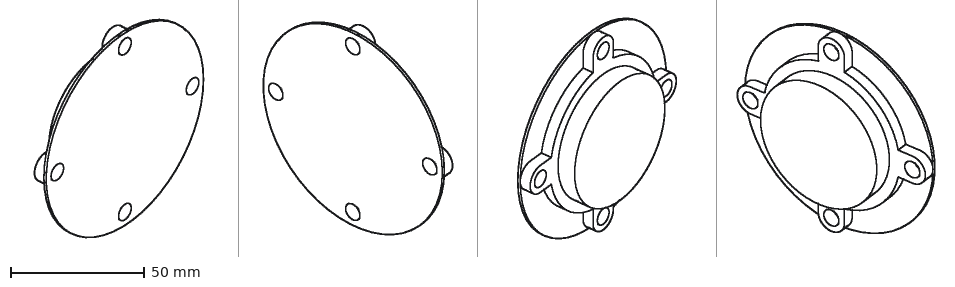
import cadquery as cq

total_depth = 13.9
plate_diameter = 88.0
plate_thickness = 1.2
boss_diameter = 54.4
boss_height = 7.9
ring_diameter = 63.7
lug_width = 12.3
hole_diameter = 7.0
lug_count = 4

ring_thickness = total_depth - plate_thickness - boss_height
lug_radius = lug_width / 2
hole_offset = plate_diameter / 2 - lug_radius


def disc(diameter, start, thickness):
    """Disc on the X axis, growing toward +X from the given position."""
    return cq.Workplane("YZ", origin=(start, 0, 0)).circle(diameter / 2).extrude(thickness)


def lug(angle):
    """Round-ended arm from the axis out to one screw hole."""
    arm_plane = cq.Workplane("YZ", origin=(boss_height, 0, 0))
    arm = arm_plane.center(hole_offset / 2, 0).rect(hole_offset, lug_width).extrude(ring_thickness)
    tip = arm_plane.center(hole_offset, 0).circle(lug_radius).extrude(ring_thickness)
    return arm.union(tip).rotate((0, 0, 0), (1, 0, 0), angle)


boss = disc(boss_diameter, 0, boss_height)
ring = disc(ring_diameter, boss_height, ring_thickness)
plate = disc(plate_diameter, boss_height + ring_thickness, plate_thickness)
body = boss.union(ring).union(plate)

for index in range(lug_count):
    body = body.union(lug(index * 360 / lug_count))

holes = (
    cq.Workplane("YZ")
    .polarArray(hole_offset, 0, 360, lug_count)
    .circle(hole_diameter / 2)
    .extrude(total_depth)
)

result = body.cut(holes)